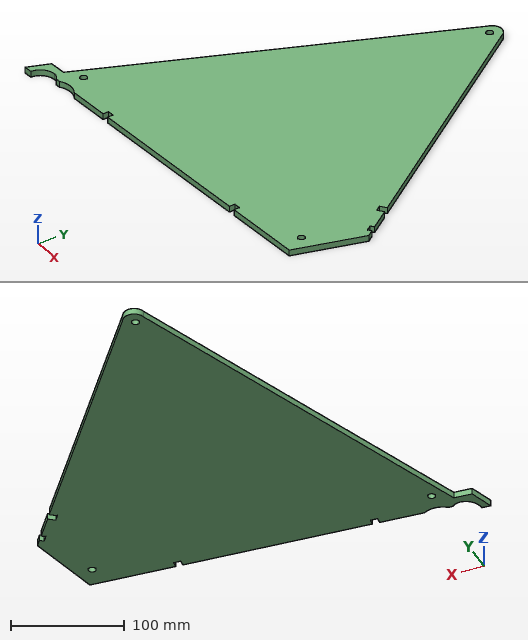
import cadquery as cq
import math

THICKNESS = 6.0
HOOK_TIP = (0, 0)
HOOK_SHOULDER = (7.7, 23.0)
LEFT_EDGE_FOOT = (24.8, 24.5)
LOWER_RIGHT = (368.8, 41.8)
FAR_RIGHT = (386.5, 113.5)

APEX_HOLE = (171.8, 374.5)
APEX_TOP = (APEX_HOLE[0], 387)
APEX_LEFT = (162.0, 379.0)
APEX_RIGHT = (181.0, 381.5)

LOWER_EDGE_START = (57.3, 15.0)
SCALLOP_CREST = (47.5, 17.8)
CUSP_RIGHT = (35.2, 13.5)
CUSP_LEFT = (30.5, 13.0)
SMALL_ARC_MIDDLE = (27, 15.5)
HOOK_CREST = (23.0, 16.3)
HOOK_ARC_MIDDLE = (12.8, 11.5)
HOOK_HEEL = (8.5, 0.8)

HOLE_DIAMETER = 7.0
HOLE_CENTERS = [(41.5, 35), (357.5, 61.5), APEX_HOLE]

SLOT_WIDTH = 6.5
LOWER_SLOTS = [(45.3, 5.8), (229.0, 5.8)]
UPPER_SLOTS = [(294.5, 7.5), (326.5, 4.3)]


def make_plate():
    return (
        cq.Workplane("XY")
        .moveTo(*HOOK_TIP)
        .lineTo(*HOOK_SHOULDER)
        .lineTo(*LEFT_EDGE_FOOT)
        .lineTo(*APEX_LEFT)
        .threePointArc(APEX_TOP, APEX_RIGHT)
        .lineTo(*FAR_RIGHT)
        .lineTo(*LOWER_RIGHT)
        .lineTo(*LOWER_EDGE_START)
        .threePointArc(SCALLOP_CREST, CUSP_RIGHT)
        .lineTo(*CUSP_LEFT)
        .threePointArc(SMALL_ARC_MIDDLE, HOOK_CREST)
        .threePointArc(HOOK_ARC_MIDDLE, HOOK_HEEL)
        .close()
        .extrude(THICKNESS)
    )


def make_edge_slot(edge_start, edge_end, distance, depth):
    """Cutter square to an edge, reaching equally far to both sides of it."""
    angle = math.atan2(edge_end[1] - edge_start[1], edge_end[0] - edge_start[0])
    x = edge_start[0] + distance * math.cos(angle)
    y = edge_start[1] + distance * math.sin(angle)
    return (
        cq.Workplane("XY")
        .rect(SLOT_WIDTH, 2 * depth)
        .extrude(THICKNESS)
        .rotate((0, 0, 0), (0, 0, 1), math.degrees(angle))
        .translate((x, y, 0))
    )


result = make_plate()
for slot_distance, slot_depth in LOWER_SLOTS:
    result = result.cut(make_edge_slot(LOWER_EDGE_START, LOWER_RIGHT, slot_distance, slot_depth))
for slot_distance, slot_depth in UPPER_SLOTS:
    result = result.cut(make_edge_slot(APEX_RIGHT, FAR_RIGHT, slot_distance, slot_depth))

holes = cq.Workplane("XY").pushPoints(HOLE_CENTERS).circle(HOLE_DIAMETER / 2).extrude(THICKNESS)
result = result.cut(holes)